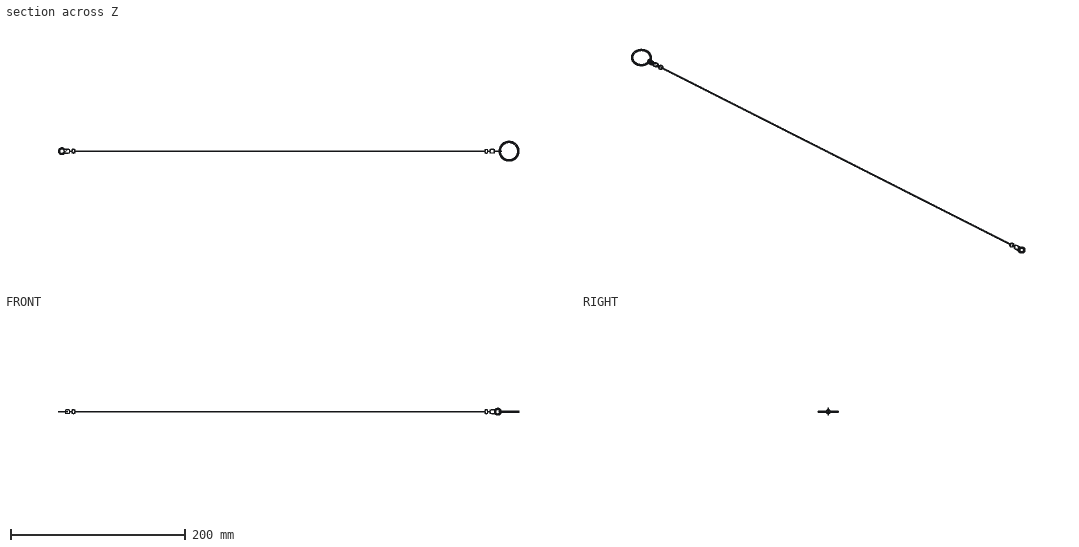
import cadquery as cq

overall_length = 528.29
eye_spacing = 500.0
eye_diameter = 7.99
eye_hole_diameter = 5.0
eye_thickness = 1.0
cable_diameter = 0.91
barrel_diameter = 4.8
barrel_end_diameter = 4.0
collar_length = 4.8
ferrule_length = 3.0
collar_gap = 3.0
ring_diameter = 23.0
ring_wire_diameter = 1.7

eye_radius = eye_diameter / 2
collar_centre = eye_radius + collar_length / 2
ferrule_centre = collar_centre + collar_length / 2 + collar_gap + ferrule_length / 2
ring_centre_x = overall_length - eye_radius - ring_diameter / 2


def barrel(length, centre):
    """Round sleeve on the X axis that bulges slightly between its flat ends."""
    half_length = length / 2
    end_radius = barrel_end_diameter / 2
    profile = (
        cq.Workplane("XY")
        .moveTo(-half_length, 0)
        .lineTo(-half_length, end_radius)
        .threePointArc((0, barrel_diameter / 2), (half_length, end_radius))
        .lineTo(half_length, 0)
        .close()
    )
    return profile.revolve(360, (0, 0, 0), (1, 0, 0)).translate((centre, 0, 0))


def eye():
    """Flat ring in the XY plane with a tab that runs along +X into the collar."""
    half_thickness = eye_thickness / 2
    disc = cq.Workplane("XY").circle(eye_radius).extrude(half_thickness, both=True)
    tab = (
        cq.Workplane("XY")
        .center(collar_centre / 2, 0)
        .rect(collar_centre, barrel_diameter)
        .extrude(half_thickness, both=True)
    )
    hole = cq.Workplane("XY").circle(eye_hole_diameter / 2).extrude(eye_thickness, both=True)
    return disc.union(tab).cut(hole)


def end_fitting():
    """Eye with its collar and the separate ferrule crimped on the cable behind it."""
    collar = barrel(collar_length, collar_centre)
    ferrule = barrel(ferrule_length, ferrule_centre)
    return eye().union(collar).union(ferrule)


def wire_ring():
    """Closed round-wire ring lying flat in the XY plane."""
    wire_radius = ring_wire_diameter / 2
    torus = cq.Solid.makeTorus(ring_diameter / 2 - wire_radius, wire_radius)
    return cq.Workplane(torus).translate((ring_centre_x, 0, 0))


def cable():
    """Straight round cable from the middle of one collar to the middle of the other."""
    far_end = eye_spacing - collar_centre
    length = far_end - collar_centre
    return cq.Workplane("ZY", origin=(far_end, 0, 0)).circle(cable_diameter / 2).extrude(length)


near_fitting = end_fitting()
far_fitting = (
    end_fitting()
    .rotate((0, 0, 0), (0, 0, 1), 180)
    .rotate((0, 0, 0), (1, 0, 0), 90)
    .translate((eye_spacing, 0, 0))
)

result = cable().union(near_fitting).union(far_fitting).union(wire_ring())